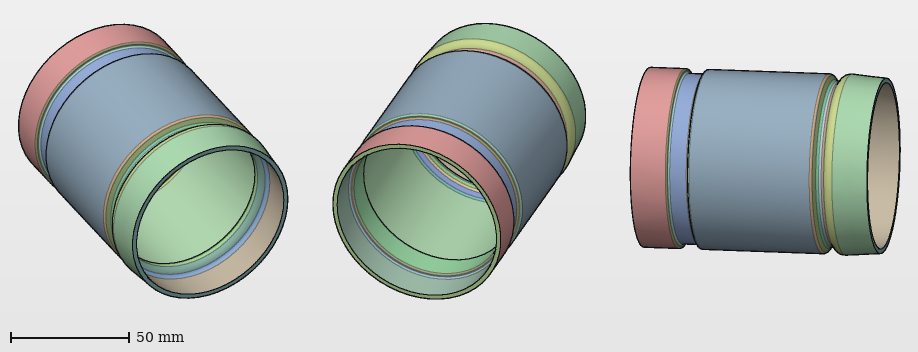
import cadquery as cq
import math

length = 101.6
pipe_radius = 76.2 / 2
wall = 1.98

groove_radius = 72.2 / 2
groove_start = 15.8
groove_end = 24.5
groove_bend = 0.76

neck_radius = 70.3 / 2
neck_start = 80.5
neck_end = 81.6
neck_bend = 1.37
ramp_angle = math.radians(56)

bead_radius = 76.7 / 2
bead_bend = 4.0
taper_angle = math.radians(4.7)

bend_sum = neck_bend + bead_bend
bend_drop = bend_sum - (bead_radius - neck_radius)
bead_x = neck_end + math.sqrt(bend_sum**2 - bend_drop**2)
touch_angle = math.acos(bend_drop / bend_sum)


def on_arc(center, radius, angle):
    """Point on an arc; the angle is taken from the radial direction, positive towards +X."""
    return (center[0] + radius * math.sin(angle), center[1] + radius * math.cos(angle))


def draw_arc(outline, center, radius, start_angle, end_angle):
    """Go straight to the start of an arc, then follow it to its end."""
    middle_angle = (start_angle + end_angle) / 2
    return outline.lineTo(*on_arc(center, radius, start_angle)).threePointArc(
        on_arc(center, radius, middle_angle), on_arc(center, radius, end_angle)
    )


def draw_step_down(outline, x_mid, high, low, bend, slope):
    """Bend inwards from one radius to a smaller one, through a straight stretch at the given slope."""
    half_run = bend * math.tan(slope / 2) + (high - low) / math.tan(slope) / 2
    outline = draw_arc(outline, (x_mid - half_run, high - bend), bend, 0, slope)
    return draw_arc(outline, (x_mid + half_run, low + bend), bend, math.pi + slope, math.pi)


def draw_step_up(outline, x_wall, low, high, bend):
    """Bend outwards from one radius to a larger one, through a wall square to the axis."""
    outline = draw_arc(outline, (x_wall - bend, low + bend), bend, math.pi, math.pi / 2)
    return draw_arc(outline, (x_wall + bend, high - bend), bend, -math.pi / 2, 0)


def draw_bead(outline, inset):
    """Swing out of the neck, over the bead and along the tapered spigot."""
    neck_center = (neck_end, neck_radius + neck_bend)
    bead_center = (bead_x, bead_radius - bead_bend)
    bead_arc = bead_bend - inset
    outline = draw_arc(outline, neck_center, neck_bend + inset, math.pi, math.pi - touch_angle)
    outline = outline.threePointArc(
        on_arc(bead_center, bead_arc, (taper_angle - touch_angle) / 2),
        on_arc(bead_center, bead_arc, taper_angle),
    )
    taper_start = on_arc(bead_center, bead_arc, taper_angle)
    end_radius = taper_start[1] - (length - taper_start[0]) * math.tan(taper_angle)
    return outline.lineTo(length, end_radius)


def pipe_form(inset):
    """Solid bounded by the pipe surface that lies the given depth inside the outer skin."""
    high = pipe_radius - inset
    groove_low = groove_radius - inset
    neck_low = neck_radius - inset

    ramp_half_run = neck_bend * math.tan(ramp_angle / 2) + (high - neck_low) / math.tan(ramp_angle) / 2
    ramp_mid = neck_start - ramp_half_run - inset * math.tan(ramp_angle / 2)

    outline = cq.Workplane("XY").lineTo(0, high)
    outline = draw_step_down(outline, groove_start - inset, high, groove_low, groove_bend, math.pi / 2)
    outline = draw_step_up(outline, groove_end + inset, groove_low, high, groove_bend)
    outline = draw_step_down(outline, ramp_mid, high, neck_low, neck_bend, ramp_angle)
    outline = draw_bead(outline, inset)
    return outline.lineTo(length, 0).close().revolve(360, (0, 0), (1, 0))


result = pipe_form(0).cut(pipe_form(wall))